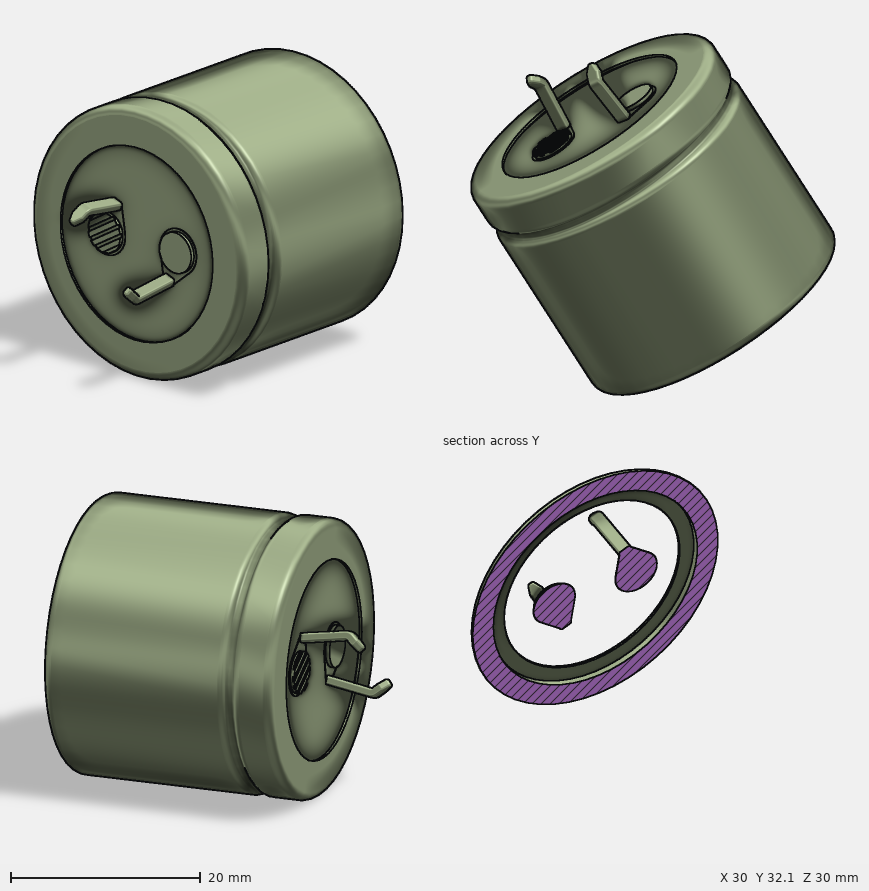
import cadquery as cq
import math

can_diameter = 30.0
can_length = 26.0
rim_radius = 1.0

groove_center = 4.95
groove_half_width = 1.22
groove_floor_half_width = 0.15
groove_depth = 0.58
groove_lip_share = 2 / 3

lip_opening_diameter = 21.45
lip_thickness = 0.3
disc_diameter = 24.85
disc_setback = 1.0

terminal_spacing = 10.0
terminal_tilt = 21
rivet_diameter = 4.5
rivet_height = 0.5
rivet_face = disc_setback - rivet_height
tab_diameter = 5.1
tab_thickness = 0.05

pin_width = 1.5
pin_thickness = 1.0
pin_edge_radius = 0.3
pin_offset = 3.8
pin_embedment = 0.48
pin_lean = 9
pin_elbow_depth = 4.3
pin_reach = 32.15 - can_length
pin_bend_radius = 0.58
tip_lean = 41
tip_chamfer_width = 0.45
tip_chamfer_length = 1.03

slot_count = 5
slot_width = 0.4
slot_pitch = 1.0
slot_depth = 0.2
slot_angle = 30


def make_can():
    radius = can_diameter / 2
    floor_radius = radius - groove_depth
    flank = groove_half_width - groove_floor_half_width
    slope = 2 * math.atan(groove_depth / flank)
    arc_sum = flank / math.sin(slope)
    lip_arc = arc_sum * groove_lip_share
    floor_arc = arc_sum - lip_arc
    half = slope / 2

    lip_mid = (radius - lip_arc * (1 - math.cos(half)), groove_half_width - lip_arc * math.sin(half))
    joint = (radius - lip_arc * (1 - math.cos(slope)), groove_half_width - lip_arc * math.sin(slope))
    floor_mid = (
        floor_radius + floor_arc * (1 - math.cos(half)),
        groove_floor_half_width + floor_arc * math.sin(half),
    )

    def at(point, side):
        return (point[0], groove_center + side * point[1])

    lip_end = (radius, groove_half_width)
    floor_end = (floor_radius, groove_floor_half_width)
    profile = (
        cq.Workplane("XY")
        .lineTo(radius, 0)
        .lineTo(*at(lip_end, -1))
        .threePointArc(at(lip_mid, -1), at(joint, -1))
        .threePointArc(at(floor_mid, -1), at(floor_end, -1))
        .lineTo(*at(floor_end, 1))
        .threePointArc(at(floor_mid, 1), at(joint, 1))
        .threePointArc(at(lip_mid, 1), at(lip_end, 1))
        .lineTo(radius, can_length)
        .lineTo(0, can_length)
        .close()
    )
    can = profile.revolve(360, (0, 0, 0), (0, 1, 0))
    can = can.faces("<Y or >Y").edges().fillet(rim_radius)
    opening = cylinder(lip_opening_diameter, 0, disc_setback)
    space_behind_lip = cylinder(disc_diameter, lip_thickness, disc_setback)
    return can.cut(opening).cut(space_behind_lip)


def cylinder(diameter, start, end):
    """Solid disc around the Y axis from Y = start to Y = end."""
    return cq.Workplane("XZ", origin=(0, end, 0)).circle(diameter / 2).extrude(end - start)


def make_tab():
    """Flat tab: round about the rivet axis, tapering tangentially to the pin width along +Z."""
    radius = tab_diameter / 2
    half_width = pin_width / 2
    reach = math.hypot(half_width, pin_offset)
    tangent_angle = math.atan2(pin_offset, half_width) - math.acos(radius / reach)
    side = radius * math.cos(tangent_angle)
    height = radius * math.sin(tangent_angle)
    return (
        cq.Workplane("XZ", origin=(0, disc_setback, 0))
        .moveTo(-half_width, pin_offset)
        .lineTo(-side, height)
        .threePointArc((0, -radius), (side, height))
        .lineTo(half_width, pin_offset)
        .close()
        .extrude(tab_thickness)
    )


def make_pin():
    """Bent pin in the YZ plane: the leg leans towards +Z and the tip turns back."""
    lean = math.radians(pin_lean)
    turn = math.radians(tip_lean)
    root_y = disc_setback + pin_embedment
    root = cq.Vector(0, root_y, pin_offset - root_y * math.tan(lean))
    elbow = cq.Vector(0, -pin_elbow_depth, pin_offset + pin_elbow_depth * math.tan(lean))
    rounding_center_y = -pin_reach + pin_edge_radius
    rounding_center_offset = pin_thickness / 2 - pin_edge_radius
    end_y = rounding_center_y + rounding_center_offset * math.sin(turn) - pin_edge_radius * math.cos(turn)
    end = cq.Vector(0, end_y, elbow.z - (elbow.y - end_y) * math.tan(turn))

    path = cq.Wire.makePolygon([root, elbow, end])
    path = path.fillet(pin_bend_radius, path.Vertices()[1:2])
    pin = (
        cq.Workplane(cq.Plane(root, xDir=(1, 0, 0), normal=elbow - root))
        .rect(pin_width, pin_thickness)
        .sweep(path)
    )

    side = pin_width / 2
    tip_normal = cq.Vector(1, 0, 0).cross(end - elbow)
    corner = (
        cq.Workplane(cq.Plane(end, xDir=(1, 0, 0), normal=tip_normal))
        .moveTo(side, 0)
        .lineTo(side - tip_chamfer_width, 0)
        .lineTo(side, -tip_chamfer_length)
        .close()
        .extrude(pin_thickness, both=True)
    )
    pin = pin.cut(corner).cut(corner.mirror("YZ"))
    end_face = cq.selectors.DirectionMinMaxSelector(end - elbow)
    end_edges = pin.faces(end_face).edges("|X")
    return pin.edges("not |X").add(end_edges).fillet(pin_edge_radius)


def make_terminal():
    rivet = cylinder(rivet_diameter, rivet_face, disc_setback)
    terminal = make_tab().union(rivet).union(make_pin())
    return (
        terminal.rotate((0, 0, 0), (0, 1, 0), terminal_tilt)
        .translate((-terminal_spacing / 2, 0, 0))
    )


def make_slots():
    first = -slot_pitch * (slot_count - 1) / 2
    slots = (
        cq.Workplane("XZ", origin=(0, rivet_face + slot_depth, 0))
        .pushPoints([(0, first + i * slot_pitch) for i in range(slot_count)])
        .rect(rivet_diameter, slot_width)
        .extrude(slot_depth)
        .intersect(cylinder(rivet_diameter, rivet_face, rivet_face + slot_depth))
    )
    return (
        slots.rotate((0, 0, 0), (0, 1, 0), -slot_angle)
        .translate((-terminal_spacing / 2, 0, 0))
    )


terminal = make_terminal()
result = (
    make_can()
    .union(terminal)
    .union(terminal.rotate((0, 0, 0), (0, 1, 0), 180))
    .cut(make_slots())
)